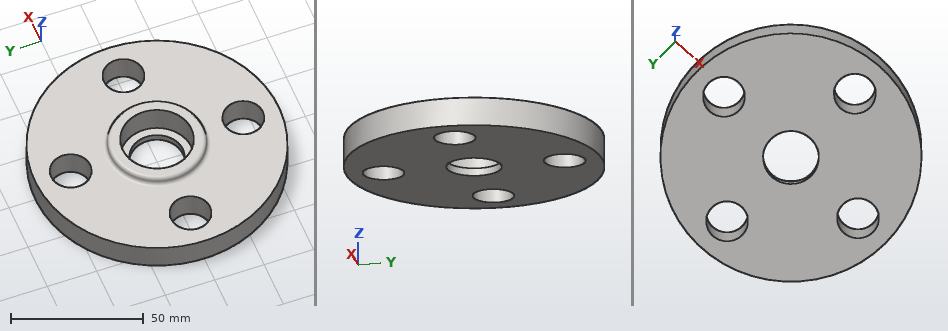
import cadquery as cq
import math

flange_diameter = 98.5
flange_thickness = 11.0
total_height = 14.2

hub_base_diameter = 38.1
hub_taper_angle = 10.0
hub_edge_radius = 1.6

socket_diameter = 27.8
socket_depth = 11.2
bore_diameter = 21.0

bolt_hole_count = 4
bolt_hole_diameter = 15.8
bolt_circle_diameter = 69.85


def flange_with_hub():
    """Revolve the outer outline of disc and hub, then round the hub's root and rim."""
    flange_radius = flange_diameter / 2
    hub_base_radius = hub_base_diameter / 2
    hub_height = total_height - flange_thickness
    hub_top_radius = hub_base_radius - hub_height * math.tan(math.radians(hub_taper_angle))

    outline = (
        cq.Workplane("XZ")
        .lineTo(flange_radius, 0)
        .lineTo(flange_radius, flange_thickness)
        .lineTo(hub_base_radius, flange_thickness)
        .lineTo(hub_top_radius, total_height)
        .lineTo(0, total_height)
        .close()
    )
    body = outline.revolve(360, (0, 0, 0), (0, 1, 0))
    hub_root = cq.selectors.RadiusNthSelector(-2)
    hub_rim = cq.selectors.RadiusNthSelector(0)
    return body.edges("%CIRCLE").edges(hub_root + hub_rim).fillet(hub_edge_radius)


def central_opening():
    """Through bore widened to a flat-bottomed socket from the hub end."""
    bore = cq.Workplane("XY").circle(bore_diameter / 2).extrude(total_height)
    socket = (
        cq.Workplane("XY", origin=(0, 0, total_height))
        .circle(socket_diameter / 2)
        .extrude(-socket_depth)
    )
    return bore.union(socket)


def bolt_holes():
    """Through holes on the X and Y axes."""
    return (
        cq.Workplane("XY")
        .polarArray(bolt_circle_diameter / 2, 0, 360, bolt_hole_count)
        .circle(bolt_hole_diameter / 2)
        .extrude(flange_thickness)
    )


result = flange_with_hub().cut(central_opening()).cut(bolt_holes())